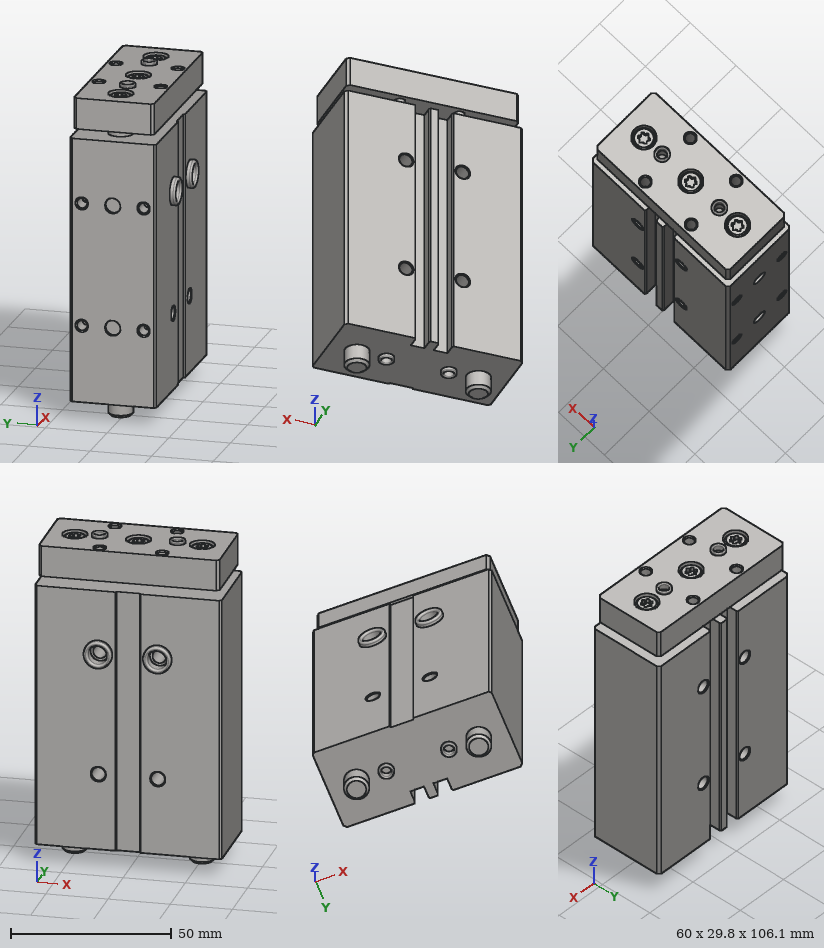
import cadquery as cq
import math

GUIDE_OVERHANG = 6.0
HOUSING_HEIGHT = 86.0
YOKE_GAP = 2.9
YOKE_HEIGHT = 10.1
YOKE_SLEEVE_PROJECTION = 1.1

HOUSING_BOTTOM = GUIDE_OVERHANG
HOUSING_TOP = HOUSING_BOTTOM + HOUSING_HEIGHT
YOKE_BOTTOM = HOUSING_TOP + YOKE_GAP
YOKE_TOP = YOKE_BOTTOM + YOKE_HEIGHT

HOUSING_WIDTH = 60.0
HOUSING_DEPTH = 28.0
BACK_CORNER_CHAMFER = 1.0
FRONT_CORNER_CHAMFER = 0.7
FRONT_CHANNEL_WIDTH = 8.1
FRONT_CHANNEL_DEPTH = 0.5
FRONT_CHANNEL_TAPER = 0.3
SENSOR_SLOT_INNER = 1.6
SENSOR_SLOT_OUTER = 6.2
SENSOR_SLOT_DEPTH = 4.5
SENSOR_SLOT_FLARE = 0.3
SENSOR_SLOT_FLARE_DEPTH = 0.6

YOKE_WIDTH = 58.0
YOKE_DEPTH = 26.0
YOKE_CORNER_CHAMFER = 1.0

ROD_SPACING = 41.0
GUIDE_DIAMETER = 8.0
GUIDE_CHAMFER = 1.0
PISTON_ROD_DIAMETER = 5.0
PISTON_ROD_END = 31.1

UPPER_ROW_Z = 71.1
ROW_SPACING = 40.0
LOWER_ROW_Z = UPPER_ROW_Z - ROW_SPACING
ROWS = (UPPER_ROW_Z, LOWER_ROW_Z)

MOUNT_SPACING = 19.1
MOUNT_DIAMETER = 4.4
MOUNT_MOUTH_DIAMETER = 5.0

THREAD_CORE_DIAMETER = 3.3
THREAD_MOUTH_DIAMETER = 4.1
THREAD_PITCH = 20.0
SIDE_THREAD_DEPTH = 6.4
DRILL_POINT_ANGLE = 118.0

SIDE_RECESS_DIAMETER = 5.0
SIDE_RECESS_DEPTH = 1.1

COUNTERBORE_DIAMETER = 8.0
SCREW_HEAD_DIAMETER = 7.0
SCREW_FACE_DIAMETER = 6.0
SCREW_HEAD_HEIGHT = 3.0
SCREW_HEAD_RECESS = 0.5
DRIVE_CORE_DIAMETER = 2.9
DRIVE_LOBE_DIAMETER = 1.1
DRIVE_TIP_DIAMETER = 3.9
DRIVE_LOBES = 6
DRIVE_DEPTH = 1.6

FRONT_SLEEVE_DIAMETER = 9.0
FRONT_SLEEVE_BORE = 6.0
FRONT_SLEEVE_PROJECTION = 1.8
FRONT_SLEEVE_SEAT = 2.1
FRONT_SLEEVE_ROUND = 0.73
SMALL_SLEEVE_DIAMETER = 5.0
SMALL_SLEEVE_BORE = 3.3
SMALL_SLEEVE_SEAT = 1.3
SMALL_SLEEVE_ROUND = 0.41
YOKE_SLEEVE_SPACING = 25.0
YOKE_SLEEVE_HOLE_DEPTH = 5.3
BOTTOM_SLEEVE_SPACING = 21.0
BOTTOM_SLEEVE_PROJECTION = 1.3

SIDES = (-1, 1)
LEFT_FACE = -HOUSING_WIDTH / 2
FRONT_FACE = -HOUSING_DEPTH / 2
BACK_FACE = HOUSING_DEPTH / 2

UP = cq.Vector(0, 0, 1)
DOWN = cq.Vector(0, 0, -1)
INTO_LEFT_FACE = cq.Vector(1, 0, 0)
INTO_FRONT_FACE = cq.Vector(0, 1, 0)
INTO_BACK_FACE = cq.Vector(0, -1, 0)


def cylinder(diameter, length, start, direction):
    return cq.Workplane(cq.Solid.makeCylinder(diameter / 2, length, cq.Vector(*start), direction))


def cone(start_diameter, end_diameter, length, start, direction):
    return cq.Workplane(
        cq.Solid.makeCone(start_diameter / 2, end_diameter / 2, length, cq.Vector(*start), direction)
    )


def mouth_chamfer(mouth_diameter, hole_diameter, start, direction):
    """45 degree countersink at the mouth of a hole."""
    return cone(mouth_diameter, hole_diameter, (mouth_diameter - hole_diameter) / 2, start, direction)


def blind_hole(diameter, depth, start, direction):
    """Drilled hole that ends in a drill point."""
    point_length = diameter / 2 / math.tan(math.radians(DRILL_POINT_ANGLE / 2))
    point_start = cq.Vector(*start) + direction * depth
    point = cone(diameter, 0, point_length, point_start.toTuple(), direction)
    return cylinder(diameter, depth, start, direction).union(point)


def small_sleeve(x, z_seat, projection, direction):
    """Centring sleeve seated at z_seat below a face and standing out of it along direction."""
    start = (x, 0, z_seat)
    length = SMALL_SLEEVE_SEAT + projection
    end_face = ">Z" if direction.z > 0 else "<Z"
    body = cylinder(SMALL_SLEEVE_DIAMETER, length, start, direction)
    body = body.cut(cylinder(SMALL_SLEEVE_BORE, length, start, direction))
    return body.faces(end_face).edges().fillet(SMALL_SLEEVE_ROUND)


def housing_blank():
    return (
        cq.Workplane("XY", origin=(0, 0, HOUSING_BOTTOM))
        .rect(HOUSING_WIDTH, HOUSING_DEPTH)
        .extrude(HOUSING_HEIGHT)
        .edges("|Z and <Y")
        .chamfer(FRONT_CORNER_CHAMFER)
        .edges("|Z and >Y")
        .chamfer(BACK_CORNER_CHAMFER)
    )


def front_channel():
    half_mouth = FRONT_CHANNEL_WIDTH / 2
    half_floor = half_mouth - FRONT_CHANNEL_TAPER
    floor = FRONT_FACE + FRONT_CHANNEL_DEPTH
    return (
        cq.Workplane("XY", origin=(0, 0, HOUSING_BOTTOM))
        .polyline(
            [(-half_mouth, FRONT_FACE), (-half_floor, floor), (half_floor, floor), (half_mouth, FRONT_FACE)]
        )
        .close()
        .extrude(HOUSING_HEIGHT)
    )


def sensor_slot(side):
    """Slot along the back face, with a flared mouth."""
    flare_y = BACK_FACE - SENSOR_SLOT_FLARE_DEPTH
    floor_y = BACK_FACE - SENSOR_SLOT_DEPTH
    return (
        cq.Workplane("XY", origin=(0, 0, HOUSING_BOTTOM))
        .polyline(
            [
                (side * (SENSOR_SLOT_INNER - SENSOR_SLOT_FLARE), BACK_FACE),
                (side * SENSOR_SLOT_INNER, flare_y),
                (side * SENSOR_SLOT_INNER, floor_y),
                (side * SENSOR_SLOT_OUTER, floor_y),
                (side * SENSOR_SLOT_OUTER, flare_y),
                (side * (SENSOR_SLOT_OUTER + SENSOR_SLOT_FLARE), BACK_FACE),
            ]
        )
        .close()
        .extrude(HOUSING_HEIGHT)
    )


def mounting_hole(x, z):
    front = (x, FRONT_FACE, z)
    back = (x, BACK_FACE, z)
    hole = cylinder(MOUNT_DIAMETER, HOUSING_DEPTH, front, INTO_FRONT_FACE)
    hole = hole.union(mouth_chamfer(MOUNT_MOUTH_DIAMETER, MOUNT_DIAMETER, front, INTO_FRONT_FACE))
    return hole.union(mouth_chamfer(MOUNT_MOUTH_DIAMETER, MOUNT_DIAMETER, back, INTO_BACK_FACE))


def side_threaded_hole(y, z):
    start = (LEFT_FACE, y, z)
    hole = blind_hole(THREAD_CORE_DIAMETER, SIDE_THREAD_DEPTH, start, INTO_LEFT_FACE)
    return hole.union(mouth_chamfer(THREAD_MOUTH_DIAMETER, THREAD_CORE_DIAMETER, start, INTO_LEFT_FACE))


def make_housing():
    housing = housing_blank().cut(front_channel())
    for side in SIDES:
        housing = housing.cut(sensor_slot(side))
        guide_x = side * ROD_SPACING / 2
        mount_x = side * MOUNT_SPACING / 2
        bottom_sleeve_x = side * BOTTOM_SLEEVE_SPACING / 2
        housing = housing.cut(cylinder(GUIDE_DIAMETER, HOUSING_HEIGHT, (guide_x, 0, HOUSING_BOTTOM), UP))
        housing = housing.cut(
            cylinder(SMALL_SLEEVE_DIAMETER, SMALL_SLEEVE_SEAT, (bottom_sleeve_x, 0, HOUSING_BOTTOM), UP)
        )
        sleeve_seat_start = (mount_x, FRONT_FACE, UPPER_ROW_Z)
        housing = housing.cut(
            cylinder(FRONT_SLEEVE_DIAMETER, FRONT_SLEEVE_SEAT, sleeve_seat_start, INTO_FRONT_FACE)
        )
        for z in ROWS:
            housing = housing.cut(mounting_hole(mount_x, z))
            housing = housing.cut(side_threaded_hole(side * THREAD_PITCH / 2, z))
    for z in ROWS:
        housing = housing.cut(
            cylinder(SIDE_RECESS_DIAMETER, SIDE_RECESS_DEPTH, (LEFT_FACE, 0, z), INTO_LEFT_FACE)
        )
    rod_bore_length = HOUSING_TOP - PISTON_ROD_END
    return housing.cut(cylinder(PISTON_ROD_DIAMETER, rod_bore_length, (0, 0, PISTON_ROD_END), UP))


def yoke_plate():
    return (
        cq.Workplane("XY", origin=(0, 0, YOKE_BOTTOM))
        .rect(YOKE_WIDTH, YOKE_DEPTH)
        .extrude(YOKE_HEIGHT)
        .edges("|Z")
        .chamfer(YOKE_CORNER_CHAMFER)
    )


def screw_drive(x, z_top):
    """Six-lobed driver recess in the top of a screw head."""
    start = (x, 0, z_top)
    drive = cylinder(DRIVE_CORE_DIAMETER, DRIVE_DEPTH, start, DOWN)
    lobe_radius = (DRIVE_TIP_DIAMETER - DRIVE_LOBE_DIAMETER) / 2
    for lobe in range(DRIVE_LOBES):
        angle = math.pi / 2 + lobe * math.tau / DRIVE_LOBES
        lobe_start = (x + lobe_radius * math.cos(angle), lobe_radius * math.sin(angle), z_top)
        drive = drive.union(cylinder(DRIVE_LOBE_DIAMETER, DRIVE_DEPTH, lobe_start, DOWN))
    return drive


def screw_head(x):
    z_top = YOKE_TOP - SCREW_HEAD_RECESS
    head = cylinder(SCREW_HEAD_DIAMETER, SCREW_HEAD_HEIGHT, (x, 0, z_top), DOWN)
    head = head.faces(">Z").chamfer((SCREW_HEAD_DIAMETER - SCREW_FACE_DIAMETER) / 2)
    return head.cut(screw_drive(x, z_top))


def yoke_threaded_hole(x, y):
    top = (x, y, YOKE_TOP)
    hole = cylinder(THREAD_CORE_DIAMETER, YOKE_HEIGHT, top, DOWN)
    return hole.union(mouth_chamfer(THREAD_MOUTH_DIAMETER, THREAD_CORE_DIAMETER, top, DOWN))


def yoke_sleeve_hole(x):
    """Sleeve seat with a drilled hole below it."""
    top = (x, 0, YOKE_TOP)
    seat = cylinder(SMALL_SLEEVE_DIAMETER, SMALL_SLEEVE_SEAT, top, DOWN)
    return seat.union(blind_hole(SMALL_SLEEVE_BORE, YOKE_SLEEVE_HOLE_DEPTH, top, DOWN))


def make_yoke():
    yoke = yoke_plate()
    counterbore_depth = SCREW_HEAD_RECESS + SCREW_HEAD_HEIGHT
    for x in (-ROD_SPACING / 2, 0, ROD_SPACING / 2):
        yoke = yoke.cut(cylinder(COUNTERBORE_DIAMETER, counterbore_depth, (x, 0, YOKE_TOP), DOWN))
        yoke = yoke.union(screw_head(x))
    for side_x in SIDES:
        yoke = yoke.cut(yoke_sleeve_hole(side_x * YOKE_SLEEVE_SPACING / 2))
        for side_y in SIDES:
            yoke = yoke.cut(yoke_threaded_hole(side_x * THREAD_PITCH / 2, side_y * THREAD_PITCH / 2))
    rod_length = YOKE_BOTTOM - PISTON_ROD_END
    return yoke.union(cylinder(PISTON_ROD_DIAMETER, rod_length, (0, 0, PISTON_ROD_END), UP))


def make_guide_rod(x):
    """Rod through the housing that butts against the underside of the yoke."""
    return cylinder(GUIDE_DIAMETER, YOKE_BOTTOM, (x, 0, 0), UP).faces("<Z").chamfer(GUIDE_CHAMFER)


def make_front_sleeve(x):
    length = FRONT_SLEEVE_SEAT + FRONT_SLEEVE_PROJECTION
    seat = (x, FRONT_FACE + FRONT_SLEEVE_SEAT, UPPER_ROW_Z)
    out_of_front_face = INTO_BACK_FACE
    body = cylinder(FRONT_SLEEVE_DIAMETER, length, seat, out_of_front_face)
    body = body.cut(cylinder(FRONT_SLEEVE_BORE, length, seat, out_of_front_face))
    return body.faces("<Y").edges().fillet(FRONT_SLEEVE_ROUND)


def make_yoke_sleeve(x):
    return small_sleeve(x, YOKE_TOP - SMALL_SLEEVE_SEAT, YOKE_SLEEVE_PROJECTION, UP)


def make_bottom_sleeve(x):
    return small_sleeve(x, HOUSING_BOTTOM + SMALL_SLEEVE_SEAT, BOTTOM_SLEEVE_PROJECTION, DOWN)


housing = make_housing()
yoke = make_yoke()
guide_rods = [make_guide_rod(side * ROD_SPACING / 2) for side in SIDES]
front_sleeves = [make_front_sleeve(side * MOUNT_SPACING / 2) for side in SIDES]
yoke_sleeves = [make_yoke_sleeve(side * YOKE_SLEEVE_SPACING / 2) for side in SIDES]
bottom_sleeves = [make_bottom_sleeve(side * BOTTOM_SLEEVE_SPACING / 2) for side in SIDES]

paired_bodies = guide_rods + front_sleeves + yoke_sleeves + bottom_sleeves
result = cq.Compound.makeCompound([housing.val(), yoke.val(), *[body.val() for body in paired_bodies]])